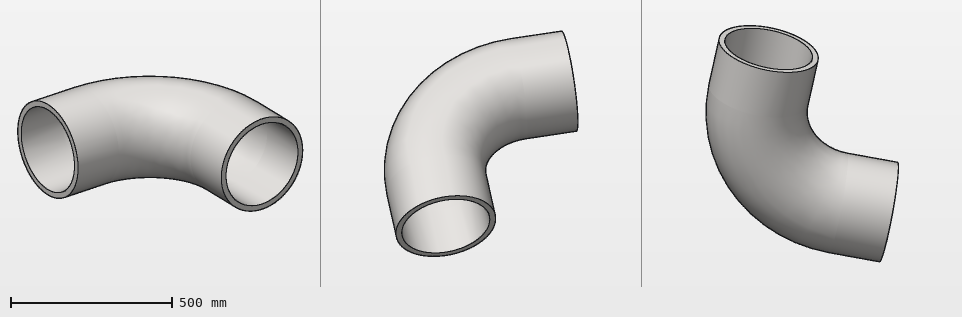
import cadquery as cq

overall_length = 632.5
outer_diameter = 315.0
bore_diameter = 277.5
bend_radius = 316.0

outer_radius = outer_diameter / 2
straight_length = overall_length - outer_radius - bend_radius


def pipe_section(plane):
    """Annular pipe cross-section centred on the given plane."""
    return cq.Workplane(plane).circle(outer_radius).circle(bore_diameter / 2)


bend_start = cq.Plane(origin=(0, 0, 0), xDir=(1, 0, 0), normal=(0, -1, 0))
bend_end = cq.Plane(origin=(bend_radius, bend_radius, 0), xDir=(0, 1, 0), normal=(1, 0, 0))

bend = pipe_section(bend_start).revolve(90, (bend_radius, 6.5, 0), (bend_radius, 0, 0))

front_spigot = pipe_section(bend_start).extrude(straight_length)
side_spigot = pipe_section(bend_end).extrude(straight_length)

result = bend.union(front_spigot).union(side_spigot)